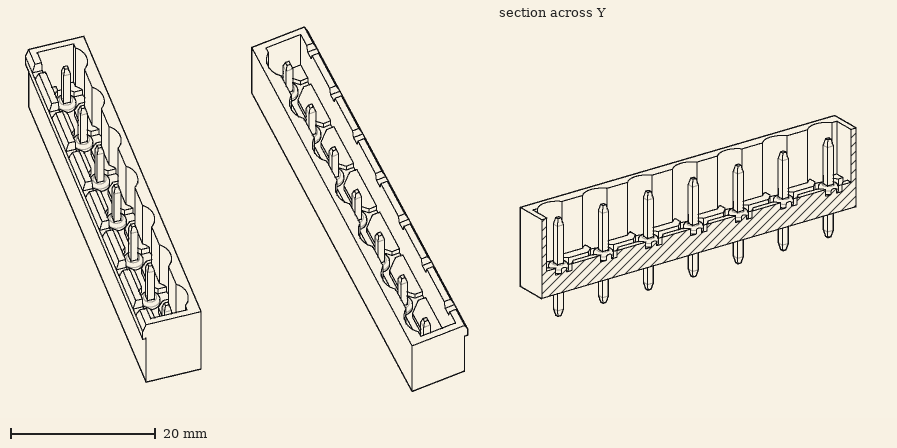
import cadquery as cq
import math


PIN_COUNT = 7
PITCH = 7.65
PIN_XS = [(i - (PIN_COUNT - 1) / 2) * PITCH for i in range(PIN_COUNT)]

LENGTH = 53.35
HEIGHT = 12.0
DEPTH = 8.0
BACK_Y = 3.8
FRONT_Y = BACK_Y - DEPTH
END_WALL = 0.9
BACK_WALL = 1.75
FRONT_WALL = 0.95

LIP_REACH = 0.5
LIP_HEIGHT = 2.9
LIP_CHAMFER_HEIGHT = 1.3
LIP_Y = FRONT_Y - LIP_REACH

CAVITY_HALF_LENGTH = LENGTH / 2 - END_WALL
CAVITY_BACK_Y = BACK_Y - BACK_WALL
CAVITY_FRONT_Y = FRONT_Y + FRONT_WALL
FLOOR_Z = 3.0
RECESS_RADIUS = 2.7
RECESS_WALL = 0.8
RECESS_CENTER_Y = BACK_Y - RECESS_WALL - RECESS_RADIUS

BLOCK_HEIGHT = 1.0
CHANNEL_HALF_WIDTH = 0.55
CLEARANCE_HALF_LENGTH = 2.15
BACK_BRANCH_HALF_WIDTH = 1.1
FRONT_BRANCH_HALF_WIDTH = 0.55

NOTCH_TOP_WIDTH = 1.8
NOTCH_BOTTOM_WIDTH = 1.2
NOTCH_DEPTH = LIP_CHAMFER_HEIGHT

BOSS_DIAMETER = 2.8
BOSS_HEIGHT = BLOCK_HEIGHT
BOSS_ROUNDING = 0.5

PIN_WIDTH = 1.0
PIN_END_WIDTH = 0.55
PIN_TAPER = 1.0
TAIL_LENGTH = 4.0
PIN_TOP_DROP = 1.2
PIN_TOP_Z = HEIGHT - PIN_TOP_DROP


def make_shell():
    """Solid housing block with the chamfered lip on its front."""
    side_profile = [
        (BACK_Y, 0),
        (BACK_Y, HEIGHT),
        (FRONT_Y, HEIGHT),
        (LIP_Y, HEIGHT - LIP_CHAMFER_HEIGHT),
        (LIP_Y, HEIGHT - LIP_HEIGHT),
        (FRONT_Y, HEIGHT - LIP_HEIGHT),
        (FRONT_Y, 0),
    ]
    return cq.Workplane("YZ").polyline(side_profile).close().extrude(LENGTH / 2, both=True)


def make_cavity():
    """Space inside the housing: a long box plus a rounded recess in the back wall behind each pin."""
    cavity_height = HEIGHT - FLOOR_Z
    cavity = (
        cq.Workplane("XY", origin=(0, 0, FLOOR_Z))
        .moveTo(-CAVITY_HALF_LENGTH, CAVITY_FRONT_Y)
        .lineTo(CAVITY_HALF_LENGTH, CAVITY_FRONT_Y)
        .lineTo(CAVITY_HALF_LENGTH, CAVITY_BACK_Y)
    )
    chord_half = math.sqrt(RECESS_RADIUS**2 - (CAVITY_BACK_Y - RECESS_CENTER_Y) ** 2)
    for x in reversed(PIN_XS):
        cavity = cavity.lineTo(x + chord_half, CAVITY_BACK_Y).threePointArc(
            (x, RECESS_CENTER_Y + RECESS_RADIUS), (x - chord_half, CAVITY_BACK_Y)
        )
    return cavity.lineTo(-CAVITY_HALF_LENGTH, CAVITY_BACK_Y).close().extrude(cavity_height)


def make_channel():
    """Channel between the floor blocks, widening and branching to front and back at each pin."""
    back_flank_y = CHANNEL_HALF_WIDTH + CLEARANCE_HALF_LENGTH - BACK_BRANCH_HALF_WIDTH
    front_flank_y = -(CHANNEL_HALF_WIDTH + CLEARANCE_HALF_LENGTH - FRONT_BRANCH_HALF_WIDTH)
    channel = (
        cq.Workplane("XY", origin=(0, 0, FLOOR_Z))
        .rect(LENGTH, 2 * CHANNEL_HALF_WIDTH)
        .extrude(BLOCK_HEIGHT)
    )
    right_side = [
        (FRONT_BRANCH_HALF_WIDTH, CAVITY_FRONT_Y),
        (FRONT_BRANCH_HALF_WIDTH, front_flank_y),
        (CLEARANCE_HALF_LENGTH, -CHANNEL_HALF_WIDTH),
        (CLEARANCE_HALF_LENGTH, CHANNEL_HALF_WIDTH),
        (BACK_BRANCH_HALF_WIDTH, back_flank_y),
        (BACK_BRANCH_HALF_WIDTH, BACK_Y),
    ]
    left_side = [(-x, y) for x, y in reversed(right_side)]
    for pin_x in PIN_XS:
        branch = (
            cq.Workplane("XY", origin=(pin_x, 0, FLOOR_Z))
            .polyline(right_side + left_side)
            .close()
            .extrude(BLOCK_HEIGHT)
        )
        channel = channel.union(branch)
    return channel


def make_floor_blocks(cavity):
    """Raised blocks that cover the cavity floor outside the channel."""
    floor_layer = cq.Workplane("XY", origin=(0, 0, FLOOR_Z)).rect(LENGTH, 2 * DEPTH).extrude(BLOCK_HEIGHT)
    return cavity.intersect(floor_layer).cut(make_channel())


def make_boss(x):
    """Round boss with a rounded top edge, standing on the cavity floor around one pin."""
    boss = cq.Workplane("XY", origin=(x, 0, FLOOR_Z)).circle(BOSS_DIAMETER / 2).extrude(BOSS_HEIGHT)
    return boss.faces(">Z").edges().fillet(BOSS_ROUNDING)


def make_notch(x):
    """Tapered notch through the front wall and lip in front of one pin."""
    notch_profile = [
        (-NOTCH_TOP_WIDTH / 2, HEIGHT),
        (NOTCH_TOP_WIDTH / 2, HEIGHT),
        (NOTCH_BOTTOM_WIDTH / 2, HEIGHT - NOTCH_DEPTH),
        (-NOTCH_BOTTOM_WIDTH / 2, HEIGHT - NOTCH_DEPTH),
    ]
    return (
        cq.Workplane("XZ", origin=(x, CAVITY_FRONT_Y, 0))
        .polyline(notch_profile)
        .close()
        .extrude(CAVITY_FRONT_Y - LIP_Y)
    )


def make_pin_hole(x):
    """Square hole for one pin through the floor and its boss."""
    return cq.Workplane("XY", origin=(x, 0, 0)).rect(PIN_WIDTH, PIN_WIDTH).extrude(FLOOR_Z + BOSS_HEIGHT)


def make_housing():
    """Housing with its floor blocks, bosses, notches and pin holes."""
    cavity = make_cavity()
    housing = make_shell().cut(cavity).union(make_floor_blocks(cavity))
    for x in PIN_XS:
        housing = housing.union(make_boss(x)).cut(make_notch(x)).cut(make_pin_hole(x))
    return housing


def make_pin(x):
    """Square pin with a tapered tip at the top and a tapered end on the tail."""
    shank_bottom_z = PIN_TAPER - TAIL_LENGTH
    shank_top_z = PIN_TOP_Z - PIN_TAPER
    shank = (
        cq.Workplane("XY", origin=(x, 0, shank_bottom_z))
        .rect(PIN_WIDTH, PIN_WIDTH)
        .extrude(shank_top_z - shank_bottom_z)
    )
    taper_angle = math.degrees(math.atan((PIN_WIDTH - PIN_END_WIDTH) / 2 / PIN_TAPER))
    with_tip = shank.faces(">Z").wires().toPending().workplane().extrude(PIN_TAPER, taper=taper_angle)
    return with_tip.faces("<Z").wires().toPending().workplane().extrude(PIN_TAPER, taper=taper_angle)


housing = make_housing()
pins = [make_pin(x) for x in PIN_XS]
result = cq.Compound.makeCompound([housing.val(), *[pin.val() for pin in pins]])